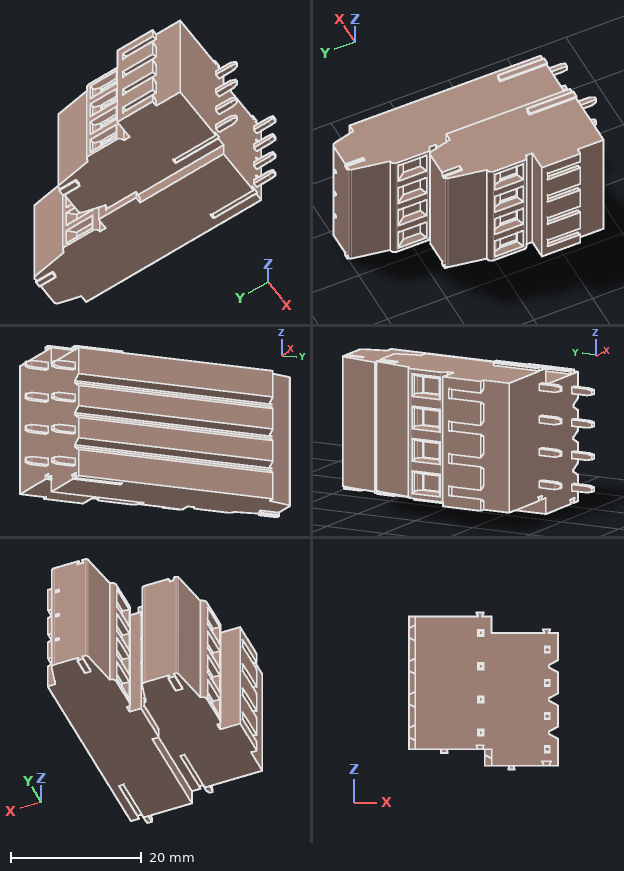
import cadquery as cq
import math


POLES = 4
PITCH = 5.08
ROW_LENGTH = POLES * PITCH
FRONT_Z = PITCH / 2
ROW_STEP_X = 10.15
ROW_STEP_Y = 11.5
REAR_Z = 0
POLE_Z = [PITCH * (pole + 0.5) for pole in range(POLES)]
WALL_Z = [PITCH * pole for pole in range(1, POLES)]

BACK_X = 12.65
BASE_X = 0.95
FACE_X = 2.55
NECK_X = 3.3
NECK_BOTTOM = 11.0
FACE_BOTTOM = 12.1
FACE_TOP = 18.75
FACE_RADIUS = 0.73
TOP_Y = 25.15
TOP_LEFT_X = 4.4
TOP_RIGHT_X = 10.3
TOP_LEFT_ROUND = 0.32
TOP_RIGHT_ROUND = 0.65
SHOULDER_X = 11.35
SHOULDER_Y = 21.08

WING_BOTTOM = 4.45
SLOT_TOP = 10.0
SLOT_MOUTH = 1.4
SLOT_ROOT = 2.38
REAR_WING_X = 11.55
REAR_WING_BOTTOM = 15.5
REAR_SLOT_TOP = 21.15
REAR_SLOT_MOUTH = 1.7
REAR_SLOT_ROOT = 2.82

ENTRY_BOTTOM = 12.9
ENTRY_TOP = 17.77
ENTRY_HEIGHT = 3.55
ENTRY_DEPTH = 0.9
INNER_BOTTOM = 13.55
INNER_TOP = 16.45
INNER_HEIGHT = 2.55
ENTRY_WALL_DEPTH = 0.45
ENTRY_WALL_Y = 17.65
ENTRY_CURVE_DEPTH = 0.7
ENTRY_CURVE_Y = 17.3
ENTRY_CURVE_RADIUS = 0.52
RECESS_DEPTH = 0.35

VEE_DEPTH = 1.4
VEE_MOUTH = 1.85
VEE_TIP = 0.32

PIN_X = 11.0
PIN_HEIGHT = 1.0
PIN_END = -3.55
TIP_LENGTH = 0.85
TIP_HEIGHT = 0.6
FRONT_PIN_WIDTH = 0.9
FRONT_TIP_WIDTH = 0.5
REAR_PIN_WIDTH = 0.8

LONG_RAIL_X = 10.9
LONG_RAIL_LENGTH = 7.95
LONG_RAIL_HEIGHT = 0.6
LONG_RAIL_NECK = 0.55
LONG_RAIL_HEAD = 1.13
FRONT_LONG_GROOVE_DEPTH = 0.6
FRONT_LONG_GROOVE_MOUTH = 0.7
FRONT_LONG_GROOVE_FLOOR = 1.15
REAR_LONG_GROOVE_DEPTH = 0.73
REAR_LONG_GROOVE_MOUTH = 0.73
REAR_LONG_GROOVE_FLOOR = 1.4
SHORT_RAIL_LENGTH = 3.02
FRONT_SHORT_RAIL_X = 5.4
FRONT_SHORT_RAIL_HEIGHT = 0.6
FRONT_SHORT_RAIL_NECK = 0.8
FRONT_SHORT_RAIL_HEAD = 1.13
REAR_SHORT_RAIL_X = 15.68
REAR_SHORT_RAIL_HEIGHT = 0.55
REAR_SHORT_RAIL_NECK = 0.65
REAR_SHORT_RAIL_HEAD = 0.95
RAIL_LIP = 0.15
SHORT_GROOVE_DEPTH = 0.6
SHORT_GROOVE_NARROW = 0.52
SHORT_GROOVE_WIDE = 0.93

PIP_LENGTH = 0.55
PIP_RISE = 0.12
PIP_WIDTH = 0.32
REAR_PIP_X = 19.42
FRONT_PIP_RIGHT_X = 10.8
FRONT_PIP_TOP_Y = 24.35

CORNER_REACH = 0.4
OVERLAP = 0.1


def box(x0, x1, y0, y1, z0, z1):
    return cq.Workplane("XY").box(x1 - x0, y1 - y0, z1 - z0, centered=False).translate((x0, y0, z0))


def row_body(wing_x, wing_root_x, wing_bottom, shift_x, shift_y, base_z):
    """Extruded section of one row, from the mounting face up to the sloping top."""
    def at(x, y):
        return (x + shift_x, y + shift_y)

    def top_corner(corner_x):
        x, y = at(corner_x, TOP_Y)
        low = (x - CORNER_REACH, y - CORNER_REACH, -CORNER_REACH)
        high = (x + CORNER_REACH, y + CORNER_REACH, ROW_LENGTH + CORNER_REACH)
        return cq.selectors.BoxSelector(low, high)

    r = FACE_RADIUS
    body = (
        cq.Workplane("XY")
        .moveTo(wing_root_x, 0)
        .lineTo(wing_root_x, wing_bottom)
        .lineTo(wing_x, wing_bottom)
        .lineTo(wing_x, NECK_BOTTOM + shift_y)
        .lineTo(*at(NECK_X, NECK_BOTTOM))
        .lineTo(*at(NECK_X, FACE_BOTTOM))
        .lineTo(*at(FACE_X + r, FACE_BOTTOM))
        .radiusArc(at(FACE_X, FACE_BOTTOM + r), r)
        .lineTo(*at(FACE_X, FACE_TOP - r))
        .radiusArc(at(FACE_X + r, FACE_TOP), r)
        .lineTo(*at(NECK_X, FACE_TOP))
        .lineTo(*at(TOP_LEFT_X, TOP_Y))
        .lineTo(*at(TOP_RIGHT_X, TOP_Y))
        .lineTo(*at(SHOULDER_X, SHOULDER_Y))
        .lineTo(*at(BACK_X, SHOULDER_Y))
        .lineTo(BACK_X + shift_x, 0)
        .close()
        .extrude(ROW_LENGTH)
    )
    body = body.edges("|Z").edges(top_corner(TOP_LEFT_X)).fillet(TOP_LEFT_ROUND)
    body = body.edges("|Z").edges(top_corner(TOP_RIGHT_X)).fillet(TOP_RIGHT_ROUND)
    return body.translate((0, 0, base_z))


def tapered_bar(x, y0, y1, z_start, z_end, width_start, width_end):
    """Bar along Y whose trapezoid section runs from z_start to z_end."""
    return (
        cq.Workplane("XZ", origin=(0, y0, 0))
        .polyline([
            (x - width_start / 2, z_start),
            (x + width_start / 2, z_start),
            (x + width_end / 2, z_end),
            (x - width_end / 2, z_end),
        ])
        .close()
        .extrude(y0 - y1)
    )


def rail(x, y0, y1, z_root, z_head, neck, head):
    """Dovetail rail along Y that ends in a straight lip."""
    lip = math.copysign(RAIL_LIP, z_head - z_root)
    flare = tapered_bar(x, y0, y1, z_root, z_head - lip, neck, head)
    return flare.union(tapered_bar(x, y0, y1, z_head - lip, z_head, head, head))


def side_groove(x_start, x_end, y0, y1, z, width_start, width_end):
    """Bar along Y, open towards X, whose width along Z changes from x_start to x_end."""
    return (
        cq.Workplane("XZ", origin=(0, y0, 0))
        .polyline([
            (x_start, z - width_start / 2),
            (x_start, z + width_start / 2),
            (x_end, z + width_end / 2),
            (x_end, z - width_end / 2),
        ])
        .close()
        .extrude(y0 - y1)
    )


def front_entry(z):
    """Wire entry of the front row: a tapered pocket with a curved upper end and a recessed floor."""
    floor_x = FACE_X + ENTRY_DEPTH
    section = (
        cq.Workplane("XY", origin=(0, 0, z))
        .moveTo(FACE_X, ENTRY_BOTTOM)
        .lineTo(FACE_X, ENTRY_TOP)
        .lineTo(FACE_X + ENTRY_WALL_DEPTH, ENTRY_WALL_Y)
        .radiusArc((FACE_X + ENTRY_CURVE_DEPTH, ENTRY_CURVE_Y), ENTRY_CURVE_RADIUS)
        .lineTo(floor_x, INNER_TOP)
        .lineTo(floor_x, INNER_BOTTOM)
        .close()
        .extrude(ENTRY_HEIGHT / 2, both=True)
    )
    pocket = section.intersect(
        side_groove(FACE_X, floor_x, ENTRY_BOTTOM, ENTRY_TOP, z, ENTRY_HEIGHT, INNER_HEIGHT)
    )
    half = INNER_HEIGHT / 2
    recess = box(floor_x, floor_x + RECESS_DEPTH, INNER_BOTTOM, INNER_TOP, z - half, z + half)
    return pocket.union(recess)


def rear_entry(z):
    """Wire entry of the rear row: a four-sided funnel."""
    mouth_middle = (ENTRY_BOTTOM + ENTRY_TOP) / 2
    inner_middle = (INNER_BOTTOM + INNER_TOP) / 2
    return (
        cq.Workplane("YZ", origin=(FACE_X + ROW_STEP_X, ROW_STEP_Y, 0))
        .center(mouth_middle, z)
        .rect(ENTRY_TOP - ENTRY_BOTTOM, ENTRY_HEIGHT)
        .workplane(offset=ENTRY_DEPTH)
        .center(inner_middle - mouth_middle, 0)
        .rect(INNER_TOP - INNER_BOTTOM, INNER_HEIGHT)
        .loft(combine=True)
    )


def pin(x, z, width, tip_width):
    """Rectangular pin with a tapered tip."""
    shank_end = PIN_END + TIP_LENGTH
    shank = box(x - width / 2, x + width / 2, shank_end, OVERLAP, z - PIN_HEIGHT / 2, z + PIN_HEIGHT / 2)
    tip = (
        cq.Workplane("XZ", origin=(x, shank_end, z))
        .rect(width, PIN_HEIGHT)
        .workplane(offset=TIP_LENGTH)
        .rect(tip_width, TIP_HEIGHT)
        .loft(combine=True)
    )
    return shank.union(tip)


front_top = FRONT_Z + ROW_LENGTH
rear_top = REAR_Z + ROW_LENGTH
rear_top_y = TOP_Y + ROW_STEP_Y
rear_long_rail_x = LONG_RAIL_X + ROW_STEP_X

front = row_body(0, BASE_X, WING_BOTTOM, 0, 0, FRONT_Z)
rear = row_body(REAR_WING_X, BACK_X, REAR_WING_BOTTOM, ROW_STEP_X, ROW_STEP_Y, REAR_Z)

for pole_z in POLE_Z:
    z = FRONT_Z + pole_z
    front = front.cut(side_groove(0, BASE_X, WING_BOTTOM, SLOT_TOP, z, SLOT_MOUTH, SLOT_ROOT))
    front = front.cut(front_entry(z))

    z = REAR_Z + pole_z
    rear = rear.cut(side_groove(
        REAR_WING_X, BACK_X, REAR_WING_BOTTOM, REAR_SLOT_TOP, z, REAR_SLOT_MOUTH, REAR_SLOT_ROOT
    ))
    rear = rear.cut(rear_entry(z))

rear_back_x = BACK_X + ROW_STEP_X
for wall_z in WALL_Z:
    z = REAR_Z + wall_z
    rear = rear.cut(side_groove(rear_back_x, rear_back_x - VEE_DEPTH, 0, rear_top_y, z, VEE_MOUTH, VEE_TIP))

front = front.cut(tapered_bar(
    LONG_RAIL_X, 0, LONG_RAIL_LENGTH, FRONT_Z, FRONT_Z + FRONT_LONG_GROOVE_DEPTH,
    FRONT_LONG_GROOVE_MOUTH, FRONT_LONG_GROOVE_FLOOR
))
rear = rear.cut(tapered_bar(
    rear_long_rail_x, 0, LONG_RAIL_LENGTH, REAR_Z, REAR_Z + REAR_LONG_GROOVE_DEPTH,
    REAR_LONG_GROOVE_MOUTH, REAR_LONG_GROOVE_FLOOR
))
front = front.cut(tapered_bar(
    FRONT_SHORT_RAIL_X, TOP_Y - SHORT_RAIL_LENGTH, TOP_Y, front_top, front_top - SHORT_GROOVE_DEPTH,
    SHORT_GROOVE_WIDE, SHORT_GROOVE_NARROW
))
rear = rear.cut(tapered_bar(
    REAR_SHORT_RAIL_X, rear_top_y - SHORT_RAIL_LENGTH, rear_top_y, rear_top, rear_top - SHORT_GROOVE_DEPTH,
    SHORT_GROOVE_NARROW, SHORT_GROOVE_WIDE
))

result = front.union(rear)

for x, z in ((LONG_RAIL_X, front_top), (rear_long_rail_x, rear_top)):
    result = result.union(rail(
        x, 0, LONG_RAIL_LENGTH, z, z + LONG_RAIL_HEIGHT, LONG_RAIL_NECK, LONG_RAIL_HEAD
    ))
result = result.union(rail(
    FRONT_SHORT_RAIL_X, TOP_Y - SHORT_RAIL_LENGTH, TOP_Y, FRONT_Z, FRONT_Z - FRONT_SHORT_RAIL_HEIGHT,
    FRONT_SHORT_RAIL_NECK, FRONT_SHORT_RAIL_HEAD
))
result = result.union(rail(
    REAR_SHORT_RAIL_X, rear_top_y - SHORT_RAIL_LENGTH, rear_top_y, REAR_Z, REAR_Z - REAR_SHORT_RAIL_HEIGHT,
    REAR_SHORT_RAIL_NECK, REAR_SHORT_RAIL_HEAD
))

for pole_z in POLE_Z:
    result = result.union(pin(PIN_X, FRONT_Z + pole_z, FRONT_PIN_WIDTH, FRONT_TIP_WIDTH))
    result = result.union(pin(PIN_X + ROW_STEP_X, REAR_Z + pole_z, REAR_PIN_WIDTH, REAR_PIN_WIDTH))

for wall_z in WALL_Z:
    z = REAR_Z + wall_z - PIP_WIDTH / 2
    x = REAR_PIP_X - PIP_LENGTH / 2
    result = result.union(box(
        x, x + PIP_LENGTH, rear_top_y - OVERLAP, rear_top_y + PIP_RISE, z, z + PIP_WIDTH
    ))
    z = FRONT_Z + wall_z - PIP_WIDTH / 2
    result = result.union(box(
        FRONT_PIP_RIGHT_X - PIP_LENGTH, FRONT_PIP_RIGHT_X, FRONT_PIP_TOP_Y - PIP_LENGTH, FRONT_PIP_TOP_Y,
        z, z + PIP_WIDTH
    ))